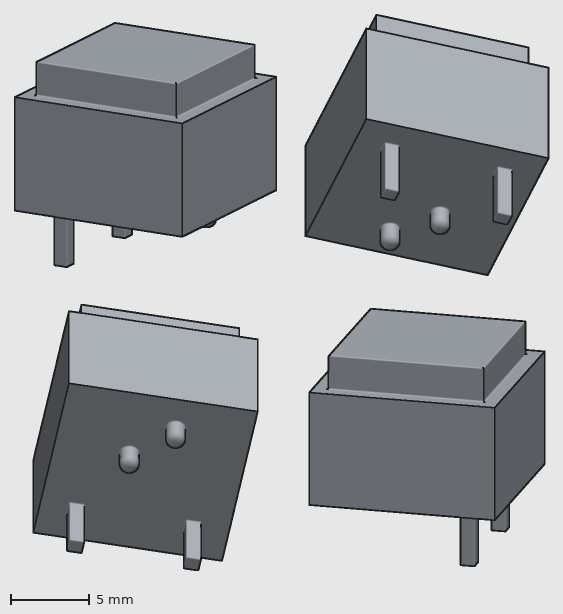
import cadquery as cq

body_side = 12.32
body_height = 7.57
cap_side = 10.3
total_height = 13.72
lead_length = 3.87
lead_side = 0.99
peg_diameter = 1.26
peg_length = 1.52
peg_tip_radius = 0.51
pin_pitch = 2.54
pin_grid_shift = -0.03
edge_radius = 0.1

cap_height = total_height - lead_length - body_height
grid_inner = pin_pitch / 2
grid_outer = 1.5 * pin_pitch


def pin_center(x, y):
    """Place a point of the pin grid relative to the body center."""
    return (x + pin_grid_shift, y + pin_grid_shift)


lead_centers = [pin_center(-grid_outer, -grid_outer), pin_center(-grid_outer, grid_outer)]
peg_centers = [pin_center(grid_inner, -grid_inner), pin_center(grid_outer, grid_inner)]
selection_depth = 0.01
selection_margin = 0.27


def junction_edges(center, width, level):
    """Select the edges where a protrusion of the given width meets the body."""
    x, y = center
    reach = width / 2 + selection_margin
    return cq.selectors.BoxSelector(
        (x - reach, y - reach, level - selection_depth),
        (x + reach, y + reach, level + selection_depth),
    )


def make_cap():
    cap = cq.Workplane("XY").workplane(offset=body_height).rect(cap_side, cap_side).extrude(cap_height)
    return cap.faces(">Z").edges().fillet(edge_radius)


def make_lead(center):
    lead = cq.Workplane("XY").center(*center).rect(lead_side, lead_side).extrude(-lead_length)
    lead = lead.edges("|Z").fillet(edge_radius)
    return lead.faces("<Z").edges().fillet(edge_radius)


def make_peg(center):
    peg = cq.Workplane("XY").center(*center).circle(peg_diameter / 2).extrude(-peg_length)
    return peg.faces("<Z").edges().fillet(peg_tip_radius)


def join_with_fillet(part, protrusion, center, width, level):
    """Attach a protrusion and round the inside corner at its root."""
    joined = part.union(protrusion)
    return joined.edges(junction_edges(center, width, level)).fillet(edge_radius)


result = cq.Workplane("XY").box(body_side, body_side, body_height, centered=(True, True, False))
result = join_with_fillet(result, make_cap(), (0, 0), cap_side, body_height)

for lead_center in lead_centers:
    result = join_with_fillet(result, make_lead(lead_center), lead_center, lead_side, 0)

for peg_center in peg_centers:
    result = join_with_fillet(result, make_peg(peg_center), peg_center, peg_diameter, 0)